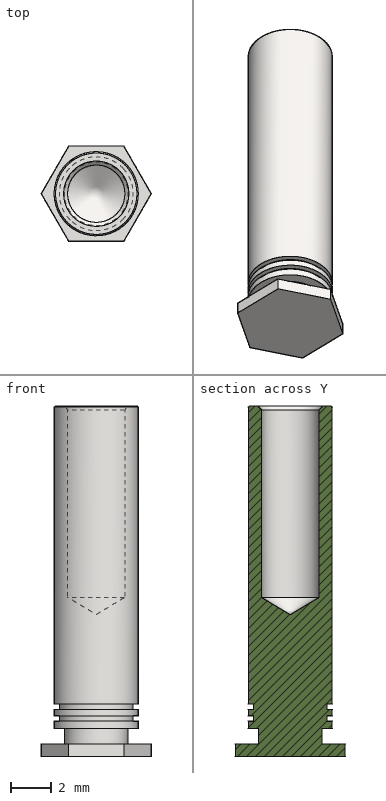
import cadquery as cq
import math

total_height = 17.46

head_across_flats = 4.75
head_height = 0.64
hexagon_sides = 6
head_across_corners = head_across_flats / math.cos(math.pi / hexagon_sides)

body_diameter = 4.19
neck_diameter = 3.17
neck_top = 1.40
rim_chamfer = 0.07

groove_diameter = 3.68
groove_width = 0.26
groove_spacing = 0.58
groove_count = 2
first_groove_bottom = 1.77

bore_diameter = 2.85
mouth_chamfer = 0.20
drill_point_angle = 118
bore_depth = 9.53


def make_head():
    return cq.Workplane("XY").polygon(hexagon_sides, head_across_corners).extrude(head_height)


def make_shank():
    neck = cq.Workplane("XY").circle(neck_diameter / 2).extrude(neck_top)
    body = (
        cq.Workplane("XY")
        .workplane(offset=neck_top)
        .circle(body_diameter / 2)
        .extrude(total_height - neck_top)
        .faces(">Z")
        .edges()
        .chamfer(rim_chamfer)
    )
    return neck.union(body)


def make_groove(bottom):
    """Ring cutter that reaches past the body surface."""
    return (
        cq.Workplane("XY")
        .workplane(offset=bottom)
        .circle(body_diameter)
        .circle(groove_diameter / 2)
        .extrude(groove_width)
    )


def make_bore():
    """Bore with a chamfered mouth and a conical floor, revolved about Z."""
    bore_radius = bore_diameter / 2
    shoulder_z = total_height - bore_depth
    point_height = bore_radius / math.tan(math.radians(drill_point_angle / 2))
    return (
        cq.Workplane("XZ")
        .moveTo(0, shoulder_z - point_height)
        .lineTo(bore_radius, shoulder_z)
        .lineTo(bore_radius, total_height - mouth_chamfer)
        .lineTo(bore_radius + mouth_chamfer, total_height)
        .lineTo(0, total_height)
        .close()
        .revolve(360, (0, 0), (0, 1))
    )


result = make_head().union(make_shank())
for index in range(groove_count):
    result = result.cut(make_groove(first_groove_bottom + index * groove_spacing))
result = result.cut(make_bore())